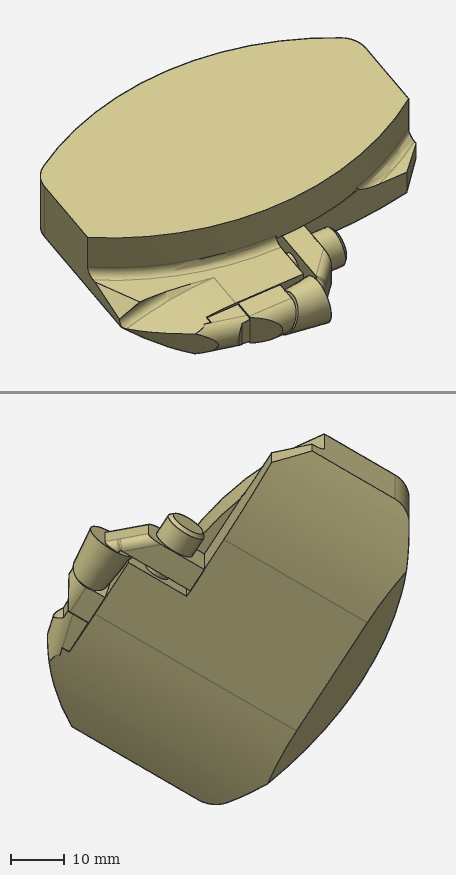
import cadquery as cq
import math

length = 70.0
half_length = length / 2
body_height = 17.15
body_width = 40.75
side_radius = 60.55
corner_radius = 5.6
edge_chamfer = 6.4

arm_height = 7.55
cove_radius = 1.7
underside_radius = 68.25
underside_start = 12.6
end_curve_radius = 51.8
end_curve_start = 15.4

bay_x = 37.8
bay_end_y = -0.6
bay_roof = 8.4
bay_corner = (32.3, 29.6)
pocket_x = 50.55
pocket_end_y = -21.7
nose_radius = 3.4
notch_y = -14.9
tip_x = 53.9
tip_radius = 3.1
tip_angle = 15.0
arm_tip = (41.8, -half_length)
arm_end_middle = (51.45, -26.95)
arm_end_top = (55.4, pocket_end_y)
notch_lip = (56.2, -18.1)
notch_root_x = 54.95
notch_root_y = -16.65
nose_bevel_y = -9.65
facet_start_x = 32.2
facet_back_y = -30.5
facet_drop = 2.25
ramp_x = 41.0

insert_x = 54.6
insert_z = 3.9
insert_radius = 4.75
insert_face_y = 0.15
insert_depth = 5.05
insert_taper = 7.0
seat_slope = 0.48

clamp_bottom = -0.4
clamp_top = 8.2
clamp_back_y = 5.75
clamp_front_y = 0.8
clamp_edge_radius = 1.9
clamp_lip_x = 53.2
clamp_tip_x = 56.2
clamp_shoulder_x = 50.1
screw_x = 44.4
head_diameter = 7.9
shank_diameter = 4.8
head_end_y = 10.6
head_chamfer = 0.7
shank_end_y = -4.2

below = -0.7
big = 2 * length
side_axis_x = body_width - side_radius


def box(x0, x1, y0, y1, z0, z1):
    return cq.Workplane("XY").box(x1 - x0, y1 - y0, z1 - z0, centered=False).translate((x0, y0, z0))


def side_sag(y):
    """Distance a long side recedes at position y from its widest point."""
    return side_radius - math.sqrt(side_radius**2 - y**2)


def y_cylinder(x, z, radius, y0, y1):
    return cq.Workplane("XZ", origin=(x, y1, z)).circle(radius).extrude(y1 - y0)


def make_lens():
    """Tall barrel-shaped body with two rounded corners."""
    sag = side_sag(half_length)
    return (
        cq.Workplane("XY")
        .moveTo(sag, -half_length)
        .lineTo(body_width - sag, -half_length)
        .threePointArc((body_width, 0), (body_width - sag, half_length))
        .lineTo(sag, half_length)
        .threePointArc((0, 0), (sag, -half_length))
        .close()
        .extrude(body_height)
        .edges("|Z")
        .edges("<X")
        .fillet(corner_radius)
    )


def arm_outline():
    """Plan of the low arm, with its notched nose and curved end."""
    start_x = body_width / 2
    return (
        cq.Workplane("XY")
        .moveTo(start_x, -half_length)
        .lineTo(*arm_tip)
        .threePointArc(arm_end_middle, arm_end_top)
        .lineTo(*notch_lip)
        .lineTo(notch_root_x, notch_root_y)
        .lineTo(notch_root_x, notch_y)
        .lineTo(insert_x + nose_radius, nose_bevel_y)
        .lineTo(insert_x + nose_radius, bay_end_y)
        .lineTo(bay_x, bay_end_y)
        .lineTo(bay_x, bay_corner[1])
        .lineTo(bay_corner[0], half_length)
        .lineTo(start_x, half_length)
        .close()
    )


def make_cove():
    """Concave fillet where the curved body side rises from the arm."""
    r = cove_radius
    mid = r * (1 - math.sqrt(0.5))
    ring = (
        cq.Workplane("XZ")
        .moveTo(side_radius - r, arm_height)
        .lineTo(side_radius + r, arm_height)
        .threePointArc((side_radius + mid, arm_height + mid), (side_radius, arm_height + r))
        .lineTo(side_radius - r, arm_height + r)
        .close()
        .revolve(360, (0, 0, 0), (0, 1, 0))
        .translate((side_axis_x, 0, 0))
    )
    return ring.intersect(arm_outline().extrude(body_height))


def curved_underside():
    """Envelope whose underside sweeps up at both ends."""
    reach = half_length - underside_start
    rise = underside_radius - math.sqrt(underside_radius**2 - reach**2)
    mid_y = underside_start + reach / 2
    mid_rise = underside_radius - math.sqrt(underside_radius**2 - (reach / 2)**2)
    return (
        cq.Workplane("YZ")
        .moveTo(-underside_start, 0)
        .lineTo(underside_start, 0)
        .threePointArc((mid_y, mid_rise), (half_length, rise))
        .lineTo(half_length, body_height)
        .lineTo(-half_length, body_height)
        .lineTo(-half_length, rise)
        .threePointArc((-mid_y, mid_rise), (-underside_start, 0))
        .close()
        .extrude(big)
    )


def ramp_cutter():
    """Curved fall of the arm end, with a concave fillet against its wall."""
    r = cove_radius
    mid = r * (1 - math.sqrt(0.5))
    inner = end_curve_radius
    outer = end_curve_radius + body_height
    ring = (
        cq.Workplane("XY")
        .moveTo(ramp_x, outer)
        .lineTo(ramp_x, inner + r)
        .threePointArc((ramp_x + mid, inner + mid), (ramp_x + r, inner))
        .lineTo(length, inner)
        .lineTo(length, outer)
        .close()
        .revolve(360, (0, 0, 0), (1, 0, 0))
        .translate((0, -end_curve_start, arm_height - end_curve_radius))
    )
    return ring.intersect(box(0, length, -length, -end_curve_start, 0, body_height))


def corner_cutter():
    """Sloping facet at the arm corner, in front of the ramp wall."""
    edge = cq.Vector(facet_start_x, -half_length, arm_height)
    along = cq.Vector(ramp_x, facet_back_y, arm_height) - edge
    down = cq.Vector(ramp_x, -half_length, arm_height - facet_drop) - edge
    normal = down.cross(along)
    facet = cq.Workplane(cq.Plane(origin=edge.toTuple(), xDir=along.toTuple(), normal=normal.toTuple()))
    return facet.rect(big, big).extrude(body_height).intersect(
        box(facet_start_x, length, -half_length, facet_back_y, 0, arm_height)
    )


def nose_trim():
    """Pocket step and round edge of the nose that carries the insert."""
    core = box(0, insert_x, -big, big, insert_z - nose_radius, insert_z + nose_radius)
    rounded = y_cylinder(insert_x, insert_z, nose_radius, -big, big)
    return box(pocket_x, big, notch_y, 0, below, body_height).cut(core).cut(rounded)


def tip_trim():
    """Deeper pocket step and leaning round edge of the arm tip."""
    low, high = insert_z - tip_radius, insert_z + tip_radius
    step = box(pocket_x, big, pocket_end_y, notch_y, below, body_height)
    step = step.cut(box(0, big, -big, big, low, high))
    edge = box(tip_x, big, -length, big, below, body_height)
    edge = edge.cut(y_cylinder(tip_x, insert_z, tip_radius, -big, big))
    edge = edge.rotate((tip_x, notch_y, 0), (tip_x, notch_y, 1), -tip_angle)
    edge = edge.intersect(box(0, big, -big, notch_y, below, body_height))
    return step.union(edge)


def make_clamp():
    """Clamping finger with a slanted nose that presses on the insert."""
    finger = (
        cq.Workplane("XY", origin=(0, 0, clamp_bottom))
        .moveTo(bay_x, clamp_front_y)
        .lineTo(clamp_lip_x, clamp_front_y)
        .lineTo(clamp_lip_x, insert_face_y)
        .lineTo(clamp_tip_x, insert_face_y)
        .lineTo(clamp_shoulder_x, clamp_back_y)
        .lineTo(bay_x, clamp_back_y)
        .close()
        .extrude(clamp_top - clamp_bottom)
    )
    slant_x = (clamp_tip_x + clamp_shoulder_x) / 2
    slant_y = (insert_face_y + clamp_back_y) / 2
    slanted_face = cq.selectors.NearestToPointSelector((slant_x, slant_y, insert_z))
    slanted_edges = finger.faces(slanted_face).edges("#Z")
    return slanted_edges.fillet(clamp_edge_radius)


def make_screw():
    head = y_cylinder(screw_x, insert_z, head_diameter / 2, clamp_back_y, head_end_y)
    head = head.faces(">Y").chamfer(head_chamfer)
    shank = y_cylinder(screw_x, insert_z, shank_diameter / 2, shank_end_y, clamp_back_y)
    return head.union(shank)


def seat_wedge():
    """Space below the inclined plane that the insert sits on."""
    top_z = insert_z + insert_radius
    return (
        cq.Workplane("YZ")
        .moveTo(-insert_depth, top_z)
        .lineTo(-insert_depth - big * seat_slope, top_z - big)
        .lineTo(-2 * big, top_z - big)
        .lineTo(-2 * big, top_z)
        .close()
        .extrude(big)
    )


def insert_pocket():
    """Open pocket between the step and the inclined seat."""
    reach_y = -insert_depth - 2 * insert_radius * seat_slope
    return box(pocket_x, length, reach_y, 0, below, insert_z + insert_radius).cut(seat_wedge())


def make_insert():
    """Round tapered cutting insert seated on an inclined plane."""
    cone_end = -insert_depth - 2 * insert_radius * seat_slope
    cone_length = insert_face_y - cone_end
    cone = (
        cq.Workplane("XZ", origin=(insert_x, insert_face_y, insert_z))
        .circle(insert_radius)
        .extrude(cone_length, taper=insert_taper)
    )
    return cone.cut(seat_wedge())


def make_holder(insert):
    arm = arm_outline().extrude(arm_height)
    for cutter in (ramp_cutter(), corner_cutter(), nose_trim(), tip_trim(), insert_pocket()):
        arm = arm.cut(cutter)
    lens = make_lens()
    lens = lens.cut(box(bay_x, length, bay_end_y, half_length, 0, bay_roof))
    holder = lens.union(arm).union(make_cove())
    bevel = (
        cq.Workplane("XZ")
        .polyline([(0, 0), (edge_chamfer, 0), (0, edge_chamfer)])
        .close()
        .extrude(half_length, both=True)
    )
    holder = holder.intersect(curved_underside()).cut(bevel)
    holder = holder.union(make_clamp()).union(make_screw())
    return holder.cut(insert)


insert = make_insert()
holder = make_holder(insert)
result = cq.Compound.makeCompound([holder.solids().val(), insert.solids().val()])